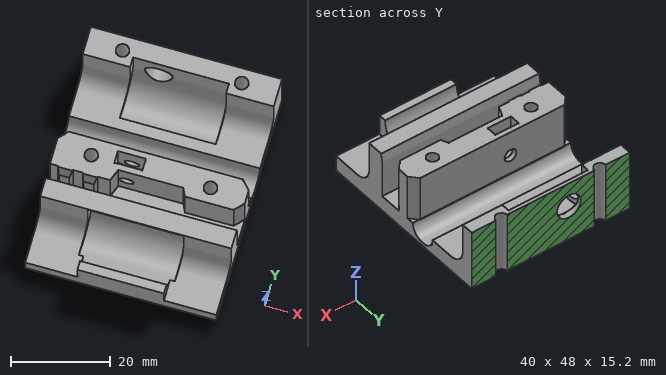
import cadquery as cq
import math

WIDTH = 40.0
DEPTH = 48.0
HEIGHT = 15.15
FLOOR = 3.95
MID_X = WIDTH / 2

REAR_WALL_Y = 42.0
FRONT_WALL_Y = 11.0
FRONT_WALL_BACK_Y = 15.3
FRONT_WALL_TOP_BACK_Y = 15.0
FRONT_WALL_TAPER_HEIGHT = 2.2
ROD_RADIUS = 4.05

GROOVE_FRONT_Y = 25.45
GROOVE_RADIUS = 3.0
GROOVE_FLAT = 0.6
GROOVE_BACK_Y = GROOVE_FRONT_Y + 2 * GROOVE_RADIUS + GROOVE_FLAT

POCKET_LENGTH = 20.05
POCKET_RADIUS = 6.15
POCKET_Z = 8.95
REAR_POCKET_Y = REAR_WALL_Y - ROD_RADIUS
FRONT_POCKET_Y = 8.05
LIP_LENGTH = 18.1
LIP_TOP = POCKET_Z

CLAMP_BACK_Y = 25.6
CLAMP_FRONT_Y = 18.1
CLAMP_RECESS_Y = 20.6
CLAMP_RIGHT_Y = 18.9
CLAMP_CORNER_X = 1.8
CLAMP_CORNER_Y = 1.9
RECESS_LEFT_X = 13.65
RECESS_LEFT_RUN = 1.0
RECESS_RIGHT_X = 27.2
RECESS_RIGHT_RUN = 0.75

TOOTH_CENTERS_X = (3.3, 8.45)
TOOTH_ROOT_WIDTH = 3.2
TOOTH_TIP_WIDTH = 2.15
TOOTH_TIP_Y = 17.05
TOOTH_BEVEL_START_Y = 17.9
TOOTH_BEVEL_HEIGHT = 2.55

SCREW_INSET_X = 7.55
SCREW_ROWS_Y = (22.1, 44.95)
SCREW_DIAMETER = 2.75
TENSION_X = 15.35
TENSION_Z = POCKET_Z
TENSION_RADIUS = 1.5
NUT_FLATS = 5.85
ACCESS_RADIUS = NUT_FLATS / 2
NUT_FRONT_Y = 21.85
NUT_BACK_Y = 24.4


def prism_along_x(profile, length):
    """Extrude a YZ profile symmetrically about the middle of the width."""
    return profile.extrude(length / 2, both=True)


def bored_y(radius, y_start, y_end):
    """Cylinder on the tensioning axis between two Y positions."""
    plane = cq.Workplane("XZ", origin=(TENSION_X, y_start, TENSION_Z))
    return plane.circle(radius).extrude(y_start - y_end)


def make_body():
    """Base, rear wall and front wall, with rounded wall feet and the small channel."""
    diagonal = math.sqrt(0.5)
    foot = ROD_RADIUS * (1 - diagonal)
    groove_reach = GROOVE_RADIUS * diagonal
    groove_bottom = FLOOR - GROOVE_RADIUS
    groove_flat_front = GROOVE_FRONT_Y + GROOVE_RADIUS
    groove_flat_back = GROOVE_BACK_Y - GROOVE_RADIUS
    profile = (
        cq.Workplane("YZ", origin=(MID_X, 0, 0))
        .moveTo(0, 0)
        .lineTo(0, FLOOR)
        .lineTo(FRONT_WALL_Y - ROD_RADIUS, FLOOR)
        .threePointArc((FRONT_WALL_Y - foot, FLOOR + foot), (FRONT_WALL_Y, FLOOR + ROD_RADIUS))
        .lineTo(FRONT_WALL_Y, HEIGHT)
        .lineTo(FRONT_WALL_TOP_BACK_Y, HEIGHT)
        .lineTo(FRONT_WALL_BACK_Y, HEIGHT - FRONT_WALL_TAPER_HEIGHT)
        .lineTo(FRONT_WALL_BACK_Y, FLOOR)
        .lineTo(GROOVE_FRONT_Y, FLOOR)
        .threePointArc(
            (groove_flat_front - groove_reach, FLOOR - groove_reach),
            (groove_flat_front, groove_bottom),
        )
        .lineTo(groove_flat_back, groove_bottom)
        .threePointArc(
            (groove_flat_back + groove_reach, FLOOR - groove_reach),
            (GROOVE_BACK_Y, FLOOR),
        )
        .lineTo(REAR_WALL_Y - ROD_RADIUS, FLOOR)
        .threePointArc((REAR_WALL_Y - foot, FLOOR + foot), (REAR_WALL_Y, FLOOR + ROD_RADIUS))
        .lineTo(REAR_WALL_Y, HEIGHT)
        .lineTo(DEPTH, HEIGHT)
        .lineTo(DEPTH, 0)
        .close()
    )
    return prism_along_x(profile, WIDTH)


def make_lip():
    """Low retaining wall at the front edge; the front pocket rounds its inner side."""
    lip = cq.Workplane("XY").box(LIP_LENGTH, FRONT_POCKET_Y, LIP_TOP, centered=(True, False, False))
    return lip.translate((MID_X, 0, 0))


def make_pocket(center_y):
    """Cylindrical bearing seat running along X."""
    profile = cq.Workplane("YZ", origin=(MID_X, center_y, POCKET_Z)).circle(POCKET_RADIUS)
    return prism_along_x(profile, POCKET_LENGTH)


def make_front_pocket_roof():
    """Flat 45 degree roof, tangent to the front pocket on the wall side."""
    reach = POCKET_RADIUS * math.sqrt(0.5)
    outline = [(0, 0), (reach, reach), (0, 2 * reach)]
    profile = cq.Workplane("YZ", origin=(MID_X, FRONT_POCKET_Y, POCKET_Z)).polyline(outline).close()
    return prism_along_x(profile, POCKET_LENGTH)


def make_rear_pocket_opening():
    """Straight-sided upper part that opens the rear pocket to the top."""
    opening = cq.Workplane("XY").box(
        POCKET_LENGTH, 2 * POCKET_RADIUS, HEIGHT - POCKET_Z, centered=(True, True, False)
    )
    return opening.translate((MID_X, REAR_POCKET_Y, POCKET_Z))


def make_clamp():
    """Upright clamp block with bevelled corners and a recessed front face."""
    outline = [
        (0, CLAMP_FRONT_Y),
        (RECESS_LEFT_X - RECESS_LEFT_RUN, CLAMP_FRONT_Y),
        (RECESS_LEFT_X, CLAMP_RECESS_Y),
        (RECESS_RIGHT_X, CLAMP_RECESS_Y),
        (RECESS_RIGHT_X + RECESS_RIGHT_RUN, CLAMP_RIGHT_Y),
        (WIDTH - CLAMP_CORNER_X, CLAMP_RIGHT_Y),
        (WIDTH, CLAMP_RIGHT_Y + CLAMP_CORNER_Y),
        (WIDTH, CLAMP_BACK_Y - CLAMP_CORNER_Y),
        (WIDTH - CLAMP_CORNER_X, CLAMP_BACK_Y),
        (CLAMP_CORNER_X, CLAMP_BACK_Y),
        (0, CLAMP_BACK_Y - CLAMP_CORNER_Y),
    ]
    return cq.Workplane("XY", origin=(0, 0, FLOOR)).polyline(outline).close().extrude(HEIGHT - FLOOR)


def make_tooth(center_x):
    """Tapered vertical tooth with a bevelled top."""
    outline = [
        (center_x - TOOTH_ROOT_WIDTH / 2, CLAMP_FRONT_Y),
        (center_x - TOOTH_TIP_WIDTH / 2, TOOTH_TIP_Y),
        (center_x + TOOTH_TIP_WIDTH / 2, TOOTH_TIP_Y),
        (center_x + TOOTH_ROOT_WIDTH / 2, CLAMP_FRONT_Y),
    ]
    bevel = [
        (TOOTH_BEVEL_START_Y, HEIGHT),
        (TOOTH_TIP_Y, HEIGHT - TOOTH_BEVEL_HEIGHT),
        (TOOTH_TIP_Y, HEIGHT),
    ]
    tooth = cq.Workplane("XY", origin=(0, 0, FLOOR)).polyline(outline).close().extrude(HEIGHT - FLOOR)
    cutter = cq.Workplane("YZ", origin=(center_x, 0, 0)).polyline(bevel).close()
    return tooth.cut(prism_along_x(cutter, TOOTH_ROOT_WIDTH))


def make_nut_slot():
    """Slot for a hexagonal nut, open at the top and pointed at the bottom."""
    half_flats = NUT_FLATS / 2
    side_drop = half_flats / math.sqrt(3)
    outline = [
        (-half_flats, HEIGHT - TENSION_Z),
        (-half_flats, -side_drop),
        (0, -2 * side_drop),
        (half_flats, -side_drop),
        (half_flats, HEIGHT - TENSION_Z),
    ]
    plane = cq.Workplane("XZ", origin=(TENSION_X, NUT_BACK_Y, TENSION_Z))
    return plane.polyline(outline).close().extrude(NUT_BACK_Y - NUT_FRONT_Y)


def make_screw_holes():
    """Four vertical through holes."""
    centers = [(x, y) for x in (SCREW_INSET_X, WIDTH - SCREW_INSET_X) for y in SCREW_ROWS_Y]
    return cq.Workplane("XY").pushPoints(centers).circle(SCREW_DIAMETER / 2).extrude(HEIGHT)


result = make_body().union(make_lip())
result = result.cut(make_pocket(FRONT_POCKET_Y)).cut(make_front_pocket_roof())
result = result.cut(make_pocket(REAR_POCKET_Y)).cut(make_rear_pocket_opening())

result = result.union(make_clamp())
for tooth_x in TOOTH_CENTERS_X:
    result = result.union(make_tooth(tooth_x))

result = result.cut(make_screw_holes())
result = result.cut(make_nut_slot())
result = result.cut(bored_y(TENSION_RADIUS, CLAMP_RECESS_Y, CLAMP_BACK_Y))
result = result.cut(bored_y(ACCESS_RADIUS, REAR_POCKET_Y, DEPTH))